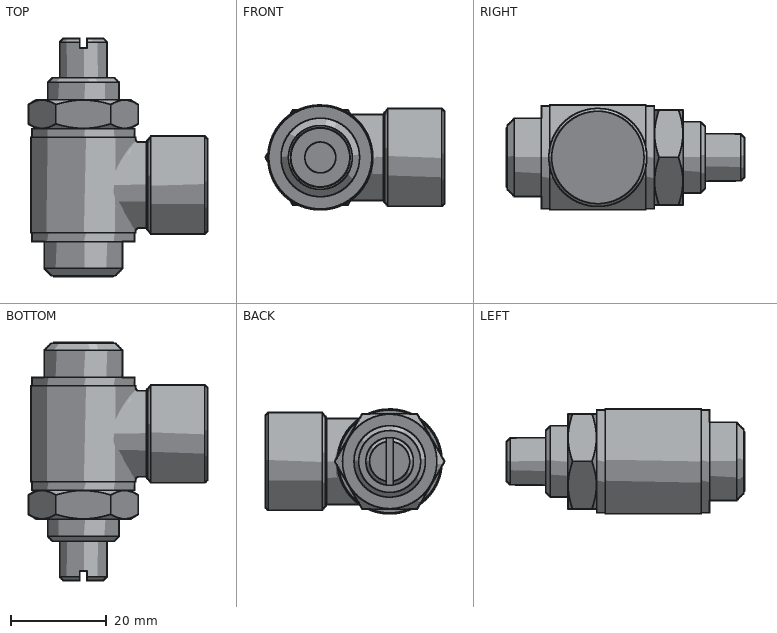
import cadquery as cq
import math

total_length = 49.9
spigot_radius = 8.25
spigot_chamfer = 1.55
spigot_length = 7.35
seat_radius = 6.25
seat_height = 0.15
seat_chamfer = 0.075
collar_radius = 10.8
collar_length = 1.8
body_diameter = 22.0
body_radius = body_diameter / 2
body_end = 29.2
hex_start = body_end + collar_length
hex_across_flats = 19.95
hex_end = 37.0
hex_turned_radius = 9.9
hex_corner_drop = 1.0
shoulder_radius = 7.5
shoulder_end = 41.65
shoulder_chamfer = 1.0
stem_radius = 5.0
stem_chamfer = 0.8

bore_radius = 3.25
bore_depth = 19.95
slot_width = 1.5
slot_depth = 2.0

port_centre_y = (spigot_length + hex_start) / 2
port_end = 26.05
port_radius = 10.3
port_chamfer = 0.6
port_start = 14.15
port_cone_length = 0.65
port_cone_radius = 9.5
neck_radius = 9.05
neck_end = 13.2
neck_fillet = 0.55


def rod(radius, start, end):
    """Cylinder along Y between two positions."""
    plane = cq.Workplane("XZ", origin=(0, start, 0))
    return plane.circle(radius).extrude(start - end)


def make_body():
    return rod(body_radius, spigot_length + collar_length, body_end)


def make_neck():
    return cq.Workplane("YZ").center(port_centre_y, 0).circle(neck_radius).extrude(neck_end)


def make_port():
    """Socket head with its conical back and rounded root."""
    cone_start = port_start - port_cone_length
    profile = (
        cq.Workplane("XY", origin=(0, port_centre_y, 0))
        .moveTo(neck_end, 0)
        .lineTo(neck_end, neck_radius)
        .tangentArcPoint((cone_start, port_cone_radius), relative=False)
        .lineTo(port_start, port_radius)
        .lineTo(port_end - port_chamfer, port_radius)
        .lineTo(port_end, port_radius - port_chamfer)
        .lineTo(port_end, 0)
        .close()
    )
    return profile.revolve(360, (0, 0, 0), (1, 0, 0))


def make_spigot():
    """Chamfered spigot with a slightly raised seat on its end face."""
    shank = rod(spigot_radius, seat_height, spigot_length).faces("<Y").edges().chamfer(spigot_chamfer)
    seat = rod(seat_radius, 0, seat_height).faces("<Y").edges().chamfer(seat_chamfer)
    return shank.union(seat)


def make_hex():
    """Hexagon with two corners on the X axis, its corners turned down at both ends."""
    corner_diameter = hex_across_flats / math.cos(math.pi / 6)
    prism = (
        cq.Workplane("XZ", origin=(0, hex_start, 0))
        .polygon(6, corner_diameter)
        .extrude(hex_start - hex_end)
    )
    corner_radius = corner_diameter / 2
    envelope = (
        rod(corner_radius, hex_start, hex_end)
        .faces("<Y or >Y")
        .chamfer(hex_corner_drop, corner_radius - hex_turned_radius)
    )
    return prism.intersect(envelope)


def make_stem():
    """Shoulder and adjusting stem with a screwdriver slot across the end."""
    shoulder = rod(shoulder_radius, hex_end, shoulder_end).faces(">Y").edges().chamfer(shoulder_chamfer)
    stem = rod(stem_radius, shoulder_end, total_length).faces(">Y").edges().chamfer(stem_chamfer)
    slot = cq.Workplane("XY").box(slot_width, 2 * slot_depth, 2 * stem_radius)
    stem = stem.cut(slot.translate((0, total_length, 0)))
    return shoulder.union(stem)


result = make_body().union(make_neck())
neck_root = cq.selectors.BoxSelector(
    (0, 0, -body_radius),
    (neck_end - neck_fillet, total_length, body_radius),
    boundingbox=False,
)
result = result.edges(neck_root).edges("not %CIRCLE").edges("not %LINE").fillet(neck_fillet)

for collar_start in (spigot_length, body_end):
    result = result.union(rod(collar_radius, collar_start, collar_start + collar_length))

for part in (make_port(), make_spigot(), make_hex(), make_stem()):
    result = result.union(part)

result = result.cut(rod(bore_radius, 0, bore_depth))